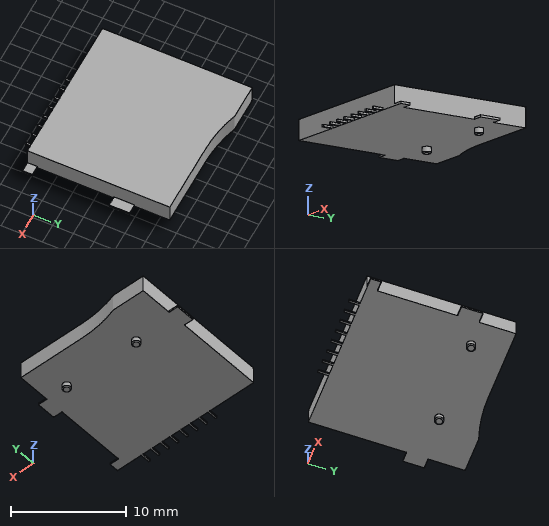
import cadquery as cq

overall_width = 16.7
overall_depth = 15.5
overall_height = 2.45
tab_reach = 0.97
pin_reach = 1.0
body_height = 1.9
foil_thickness = 0.2

body_width = overall_width - 2 * tab_reach
body_depth = overall_depth - pin_reach

ledge_width = 3.44
ledge_drop = 0.7
arc_run = 4.26

side_tab_length = 2.0
left_tab_start = body_depth - 5.41
right_tab_start = left_tab_start - ledge_drop
corner_tab_length = 0.99

pin_count = 8
pin_pitch = 1.1
pin_width = 0.2
first_pin_x = 5.2

post_diameter = 0.8
post_length = overall_height - body_height
post_chamfer = 0.1
post_y = body_depth - 3.99
left_post_x = 4.33
post_spacing = 8.03


def make_body():
    """Flat block with an arc, tangent to the lower back edge, up to the ledge."""
    lower_edge_y = body_depth - ledge_drop
    return (
        cq.Workplane("XY")
        .lineTo(body_width, 0)
        .lineTo(body_width, lower_edge_y)
        .lineTo(ledge_width + arc_run, lower_edge_y)
        .tangentArcPoint((ledge_width, body_depth), relative=False)
        .lineTo(0, body_depth)
        .close()
        .extrude(body_height)
    )


def make_strip(x, y, width, length):
    """Thin metal strip flush with the underside, given by its front left corner."""
    return cq.Workplane("XY").box(width, length, foil_thickness, centered=False).translate((x, y, 0))


def make_post(x):
    """Round post below the body with a chamfered tip."""
    return (
        cq.Workplane("XY")
        .center(x, post_y)
        .circle(post_diameter / 2)
        .extrude(-post_length)
        .faces("<Z")
        .chamfer(post_chamfer)
    )


result = make_body()

result = result.union(make_strip(-tab_reach, left_tab_start, tab_reach, side_tab_length))
result = result.union(make_strip(body_width, right_tab_start, tab_reach, side_tab_length))
result = result.union(make_strip(body_width, 0, tab_reach, corner_tab_length))

for index in range(pin_count):
    pin_x = first_pin_x + index * pin_pitch - pin_width / 2
    result = result.union(make_strip(pin_x, -pin_reach, pin_width, pin_reach))

for post_x in (left_post_x, left_post_x + post_spacing):
    result = result.union(make_post(post_x))